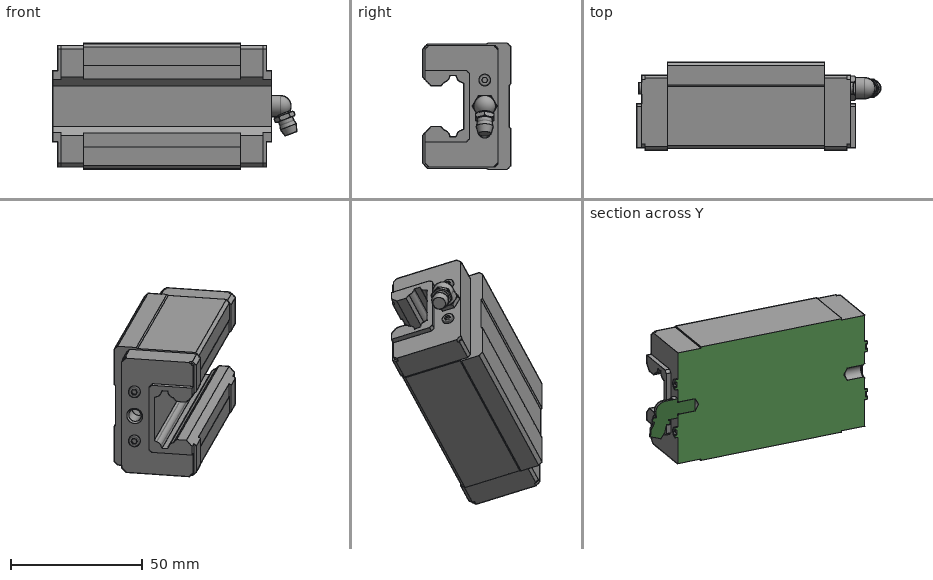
import cadquery as cq
import math


block_length = 59.6
plate_length = 79.3
plate_thickness = 1.4
carriage_length = 83.1
cap_length = plate_length - 2 * plate_thickness

block_half_height = 24.0
block_depth = 32.8
block_back_chamfer = 1.4
block_front_chamfer = 1.2
side_step_depth = 8.6
side_step_run = 0.6
side_step = 0.4
relief_half_height = 8.5
relief_depth = 0.6
front_step_half_height = 15.5
front_step = 0.1

cap_half_height = 23.1
cap_back = 4.9
cap_front = 33.5
cap_back_chamfer = 1.1
plate_front = 32.5
plate_back_chamfer = 1.7
front_chamfer = 1.5
lip_half_height = 13.5
lip_back = 15.8
lip_chamfer = 1.1

channel_floor = 17.9
channel_floor_half_height = 8.6
groove_start = 20.9
groove_end = 23.1
groove_half_height = 11.6
jaw_half_height = 7.7
jaw_start = 26.5
jaw_end = 30.3
mouth_half_height = 11.0

inner_race = [(-18.8, 9.1), (-19.8, 9.6), (-20.5, 10.75)]
outer_race = [(-23.3, 10.75), (-24.0, 9.7), (-25.3, 9.0)]

port_depth = 9.9
screw_offset = 9.9
screw_radius = 2.2
screw_height = 1.1
screw_edge_fillet = 0.3
socket_corner_diameter = 2.3
socket_depth = 0.7
hole_radius = 2.4
hole_mouth_radius = 3.1
hole_depth = 7.4
drill_tip_depth = 1.4

base_nut_corner_diameter = 9.5
base_nut_thickness = 1.9
nut_chamfer = 0.4
elbow_radius = 4.1
elbow_length = 3.4
leg_tilt = 21
leg_nut_corner_diameter = 8.1
leg_nut_start = 3.4
leg_nut_thickness = 1.9
neck_end = 6.8
head_start = 8.3
leg_end = 11.2
neck_radius = 2.9
head_radius = 3.2
tip_radius = 2.4


def symmetric_prism(half_outline, start, end):
    """Prism from start to end along X whose YZ section is the half outline plus its mirror image in Z."""
    mirrored = [(y, -z) for y, z in reversed(half_outline)]
    section = cq.Workplane("YZ", origin=(start, 0, 0)).polyline(half_outline + mirrored).close()
    return section.extrude(end - start)


def chamfered_prism(back, front, half_height, back_chamfer, edge_chamfer, end):
    """Rectangular prism beyond the block end, with chamfered back and front corners."""
    half_outline = [
        (-back, half_height - back_chamfer),
        (-back - back_chamfer, half_height),
        (-front + edge_chamfer, half_height),
        (-front, half_height - edge_chamfer),
    ]
    return symmetric_prism(half_outline, block_length / 2, end)


def steel_block():
    side_half_height = block_half_height - side_step
    half_outline = [
        (-relief_depth, relief_half_height - relief_depth),
        (0, relief_half_height),
        (0, block_half_height - block_back_chamfer),
        (-block_back_chamfer, block_half_height),
        (-side_step_depth, block_half_height),
        (-side_step_depth - side_step_run, side_half_height),
        (-block_depth + block_front_chamfer, side_half_height),
        (-block_depth, side_half_height - block_front_chamfer),
        (-block_depth, front_step_half_height),
        (-block_depth + front_step, front_step_half_height),
    ]
    return symmetric_prism(half_outline, -block_length / 2, block_length / 2)


def rail_channel():
    """Cutter for the rail channel, with a convex ball race on either side of each groove."""
    upper_half = (
        cq.Workplane("YZ")
        .moveTo(-channel_floor, 0)
        .lineTo(-channel_floor, channel_floor_half_height)
        .lineTo(*inner_race[0])
        .threePointArc(*inner_race[1:])
        .lineTo(-groove_start, groove_half_height)
        .lineTo(-groove_end, groove_half_height)
        .lineTo(*outer_race[0])
        .threePointArc(*outer_race[1:])
        .lineTo(-jaw_start, jaw_half_height)
        .lineTo(-jaw_end, jaw_half_height)
        .lineTo(-cap_front, mouth_half_height)
        .lineTo(-cap_front, 0)
        .close()
        .extrude(carriage_length / 2, both=True)
    )
    return upper_half.union(upper_half.mirror("XY"))


def end_plane(z=0):
    """Workplane on the +X end plate, normal along +X, centred on the port depth."""
    return cq.Workplane("YZ", origin=(plate_length / 2, -port_depth, z))


def screw_head(z):
    head = end_plane(z).circle(screw_radius).extrude(screw_height)
    head = head.faces(">X").edges().fillet(screw_edge_fillet)
    return head.faces(">X").workplane().polygon(6, socket_corner_diameter).cutBlind(-socket_depth)


def grease_hole():
    """Cutter for the countersunk grease port with a conical drill tip."""
    countersink = hole_mouth_radius - hole_radius
    return (
        cq.Workplane("XZ", origin=(plate_length / 2, -port_depth, 0))
        .polyline([
            (0, 0),
            (0, hole_mouth_radius),
            (-countersink, hole_radius),
            (-hole_depth, hole_radius),
            (-hole_depth - drill_tip_depth, 0),
        ])
        .close()
        .revolve(360, (0, 0, 0), (1, 0, 0))
    )


def at_both_ends(shape):
    return [shape, shape.mirror("YZ")]


def sealing_lip():
    half_outline = [
        (-lip_back, lip_half_height - lip_chamfer),
        (-lip_back - lip_chamfer, lip_half_height),
        (-plate_front, lip_half_height),
    ]
    return symmetric_prism(half_outline, block_length / 2, carriage_length / 2)


def end_unit():
    """Cap, plate and lip at the +X end; the plate and lip run through to the block."""
    cap = chamfered_prism(
        cap_back, cap_front, cap_half_height, cap_back_chamfer, front_chamfer, cap_length / 2)
    plate = chamfered_prism(
        cap_back, plate_front, cap_half_height, plate_back_chamfer, front_chamfer, plate_length / 2)
    return cap.union(plate).union(sealing_lip())


def make_carriage():
    body = steel_block()
    for unit in at_both_ends(end_unit()):
        body = body.union(unit)
    body = body.cut(rail_channel())
    for z in (-screw_offset, screw_offset):
        for head in at_both_ends(screw_head(z)):
            body = body.union(head)
    for hole in at_both_ends(grease_hole()):
        body = body.cut(hole)
    return body


def chamfered_nut(workplane, corner_diameter, thickness, chamfered_ends):
    """Hexagon nut whose corners are turned down at the given ends."""
    blank = workplane.circle(corner_diameter / 2).extrude(thickness)
    blank = blank.edges(chamfered_ends).chamfer(nut_chamfer)
    return workplane.polygon(6, corner_diameter).extrude(thickness).intersect(blank)


def nipple_leg(ball_centre):
    """Hexagon nut, neck and tapered head along the tilted axis through the ball centre."""
    tilt = math.radians(leg_tilt)
    axis = (math.sin(tilt), 0, -math.cos(tilt))
    side = (math.cos(tilt), 0, math.sin(tilt))
    nut_base = cq.Workplane(cq.Plane(ball_centre, side, axis)).workplane(offset=leg_nut_start)
    nut = chamfered_nut(nut_base, leg_nut_corner_diameter, leg_nut_thickness, "%CIRCLE")
    spindle = (
        cq.Workplane(cq.Plane(ball_centre, axis, (0, -1, 0)))
        .polyline([
            (0, 0),
            (0, neck_radius),
            (neck_end, neck_radius),
            (head_start, head_radius),
            (leg_end, tip_radius),
            (leg_end, 0),
        ])
        .close()
        .revolve(360, (0, 0, 0), (1, 0, 0))
    )
    return nut.union(spindle)


def make_grease_nipple():
    elbow_end = base_nut_thickness + elbow_length
    ball_centre = (plate_length / 2 + elbow_end, -port_depth, 0)
    stem = end_plane().circle(hole_radius).extrude(-hole_depth)
    base_nut = chamfered_nut(end_plane(), base_nut_corner_diameter, base_nut_thickness, ">X")
    elbow = end_plane().workplane(offset=base_nut_thickness).circle(elbow_radius).extrude(elbow_length)
    ball = cq.Workplane("XY", origin=ball_centre).sphere(elbow_radius)
    return stem.union(base_nut).union(elbow).union(ball).union(nipple_leg(ball_centre))


carriage = make_carriage()
grease_nipple = make_grease_nipple()

result = cq.Compound.makeCompound([carriage.solids().val(), grease_nipple.solids().val()])